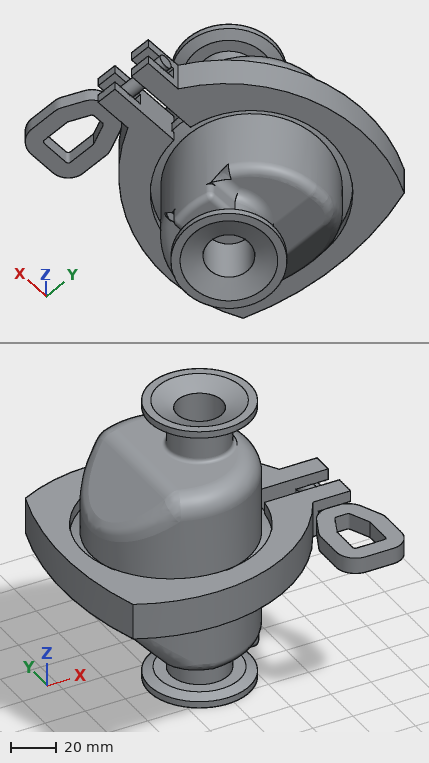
import cadquery as cq
import math

SHELL_DIA = 79.0
SHELL_RADIUS = SHELL_DIA / 2
SHELL_TOP = 45.6
SHELL_BOTTOM = -46.0
TOP_FILLET = 10.0
BOTTOM_FILLET = 4.9
FACET_FILLET = TOP_FILLET
CUT_REACH = 2 * SHELL_RADIUS
UNDERSIDE_LIMIT = SHELL_BOTTOM + TOP_FILLET
EDGE_TOLERANCE = 0.01
SHELL_SPLIT_X = 4.3

TOP_FACET_AXIS_Z = 61.0
BOTTOM_FACET_AXIS_Z = -59.8

UNDERSIDE_TILT = math.radians(11.0)

PORT_TOP = 68.6
PORT_BOTTOM = PORT_TOP - 143.5
TUBE_RADIUS = 29.0 / 2
FERRULE_RADIUS = 50.5 / 2
PORT_X = SHELL_RADIUS - FERRULE_RADIUS
FERRULE_RIM = 3.3
FERRULE_THICKNESS = 5.2
FERRULE_BACK_RADIUS = 20.2
BORE_RADIUS = 22.5 / 2
FUNNEL_RADIUS = 21.2
FUNNEL_DEPTH = 3.7
TOP_FLARE = 1.9
BOTTOM_FLARE = 4.9
PORT_ROOT_DEPTH = 2.9

FOOT_X_START = 20.5
FOOT_WIDTH = 23.5
FOOT_BOTTOM = -60.5
FOOT_FILLET = 3.0
FOOT_ROOT_HEIGHT = 5.2

FLANGE_RADIUS = 45.2
FLANGE_HALF_RIM = 2.9
FLANGE_SLOPE = math.radians(20.0)

CLAMP_HEIGHT = 18.0
CLAMP_BORE_RADIUS = 44.0
CLAMP_BACK_X = -53.5
CLAMP_CORNER = (-45.6, 48.4)
CLAMP_SIDE_CENTER_X = -8.6
ARM_ROOT_X = 62.3
ARM_END_X = 81.1
ARM_OUTER_Y = 15.0
ARM_GAP = 9.9

BOLT_DIA = 7.0
BOLT_X = 71.9
BOLT_END_Y = 16.8
FORK_HEIGHT = 6.9
FORK_START_X = 65.0
NUT_THICKNESS = 8.0
NUT_WALL = 8.0
NUT_OPENING_HALF_WIDTH = 8.2
NUT_OPENING_TOP_HALF_WIDTH = 3.5
NUT_OPENING_BOTTOM_Y = -49.5
NUT_SHOULDER_Y = -34.3
NUT_OPENING_TOP_Y = -23.7
NUT_OPENING_FILLET = 1.5


def make_flange():
    """Disc with a flat rim, thickening along a cone towards the shell."""
    hub_half = FLANGE_HALF_RIM + (FLANGE_RADIUS - SHELL_RADIUS) * math.tan(FLANGE_SLOPE)
    profile = [
        (0, -hub_half),
        (SHELL_RADIUS, -hub_half),
        (FLANGE_RADIUS, -FLANGE_HALF_RIM),
        (FLANGE_RADIUS, FLANGE_HALF_RIM),
        (SHELL_RADIUS, hub_half),
        (0, hub_half),
    ]
    return cq.Workplane("XZ").polyline(profile).close().revolve(360, (0, 0), (0, 1))


def is_upright_line(edge):
    return edge.geomType() == "LINE" and abs(edge.tangentAt(0).z) > 0.9


def facet_edge(shell):
    """Curved edge between the facet and the cylinder: the one lying furthest towards -X."""
    curved = [edge for edge in shell.edges().vals() if edge.geomType() != "LINE"]
    return min(curved, key=lambda edge: edge.Center().x)


def side_cutter(points):
    """Prism across the whole shell from an outline in the XZ plane."""
    return cq.Workplane("XZ").polyline(points).close().extrude(CUT_REACH, both=True)


def make_upper_shell():
    """Upper half of the shell with its facet, rounded all along its top."""
    shell = cq.Workplane("XY").circle(SHELL_RADIUS).extrude(SHELL_TOP)
    facet = side_cutter([
        (SHELL_TOP - TOP_FACET_AXIS_Z, SHELL_TOP),
        (-CUT_REACH, TOP_FACET_AXIS_Z - CUT_REACH),
        (-CUT_REACH, SHELL_TOP),
    ])
    shell = shell.cut(facet).val()
    outer_edges = [
        edge for edge in shell.Edges()
        if edge.Center().z > EDGE_TOLERANCE and not is_upright_line(edge)
    ]
    return cq.Workplane(shell.fillet(TOP_FILLET, outer_edges))


def make_drained_shell():
    """Lower half of the shell with its facet and tilted underside."""
    shell = cq.Workplane("XY").circle(SHELL_RADIUS).extrude(SHELL_BOTTOM)
    facet = side_cutter([
        (BOTTOM_FACET_AXIS_Z - SHELL_BOTTOM, SHELL_BOTTOM),
        (-CUT_REACH, BOTTOM_FACET_AXIS_Z + CUT_REACH),
        (-CUT_REACH, SHELL_BOTTOM),
    ])
    tilt = side_cutter([
        (0, SHELL_BOTTOM),
        (-CUT_REACH, SHELL_BOTTOM + CUT_REACH * math.tan(UNDERSIDE_TILT)),
        (-CUT_REACH, SHELL_BOTTOM),
    ])
    shell = shell.cut(facet).cut(tilt)
    shell = shell.val().fillet(FACET_FILLET, [facet_edge(shell)])
    underside_edges = [
        edge for edge in shell.Edges()
        if edge.BoundingBox().zmax < UNDERSIDE_LIMIT and not is_upright_line(edge)
    ]
    return cq.Workplane(shell.fillet(BOTTOM_FILLET, underside_edges))


def foot_block(top_z, bottom_z):
    """Block under the +X side of the shell, its outer face continuing the cylinder."""
    half_width = FOOT_WIDTH / 2
    corner_x = math.sqrt(SHELL_RADIUS**2 - half_width**2)
    return (
        cq.Workplane("XY", origin=(0, 0, bottom_z))
        .moveTo(FOOT_X_START, -half_width)
        .lineTo(corner_x, -half_width)
        .threePointArc((SHELL_RADIUS, 0), (corner_x, half_width))
        .lineTo(FOOT_X_START, half_width)
        .close()
        .extrude(top_z - bottom_z)
    )


def make_footed_shell():
    """Lower half of the shell with its foot, rounded around the rim and the root of the foot."""
    foot_root_z = SHELL_BOTTOM - FOOT_ROOT_HEIGHT
    shell = (
        cq.Workplane("XY")
        .circle(SHELL_RADIUS)
        .extrude(SHELL_BOTTOM)
        .rotate((0, 0, 0), (0, 0, 1), 180)
    )
    shell = shell.union(foot_block(SHELL_BOTTOM, foot_root_z)).val()
    underside_edges = [
        edge for edge in shell.Edges()
        if abs(edge.Center().z - SHELL_BOTTOM) < EDGE_TOLERANCE
    ]
    shell = cq.Workplane(shell.fillet(BOTTOM_FILLET, underside_edges))
    foot = foot_block(foot_root_z, FOOT_BOTTOM)
    foot = foot.edges("|Z").edges(">X").fillet(FOOT_FILLET)
    foot = foot.faces("<Z").edges().fillet(FOOT_FILLET)
    return shell.union(foot)


def make_lower_shell():
    """Drained shell on the -X side joined to the footed shell on the +X side."""
    footed_side = (
        cq.Workplane("XY", origin=(SHELL_SPLIT_X, 0, 0))
        .box(CUT_REACH, 2 * CUT_REACH, 2 * CUT_REACH, centered=(False, True, True))
    )
    return make_drained_shell().cut(footed_side).union(make_footed_shell().intersect(footed_side))


def make_port(end_z, shell_z, flare):
    """Tube with a ferrule at end_z, flaring out where it meets the shell at shell_z."""
    up = math.copysign(1, end_z)
    root_z = shell_z - up * PORT_ROOT_DEPTH
    flare_middle = flare * (1 - math.sqrt(0.5))
    profile = (
        cq.Workplane("XZ", origin=(PORT_X, 0, 0))
        .moveTo(0, root_z)
        .lineTo(TUBE_RADIUS + flare, root_z)
        .lineTo(TUBE_RADIUS + flare, shell_z)
        .threePointArc(
            (TUBE_RADIUS + flare_middle, shell_z + up * flare_middle),
            (TUBE_RADIUS, shell_z + up * flare),
        )
        .lineTo(TUBE_RADIUS, end_z - up * FERRULE_THICKNESS)
        .lineTo(FERRULE_BACK_RADIUS, end_z - up * FERRULE_THICKNESS)
        .lineTo(FERRULE_RADIUS, end_z - up * FERRULE_RIM)
        .lineTo(FERRULE_RADIUS, end_z)
        .lineTo(0, end_z)
        .close()
    )
    return profile.revolve(360, (0, 0), (0, 1))


def make_port_bore(end_z, shell_z):
    """Blind bore as deep as the shell face, opening into a funnel at the port mouth."""
    up = math.copysign(1, end_z)
    profile = [
        (0, shell_z),
        (BORE_RADIUS, shell_z),
        (BORE_RADIUS, end_z - up * FUNNEL_DEPTH),
        (FUNNEL_RADIUS, end_z),
        (0, end_z),
    ]
    return (
        cq.Workplane("XZ", origin=(PORT_X, 0, 0))
        .polyline(profile).close()
        .revolve(360, (0, 0), (0, 1))
    )


def make_housing():
    housing = (
        make_upper_shell()
        .union(make_lower_shell())
        .union(make_flange())
        .union(make_port(PORT_TOP, SHELL_TOP, TOP_FLARE))
        .union(make_port(PORT_BOTTOM, SHELL_BOTTOM, BOTTOM_FLARE))
    )
    housing = housing.cut(make_port_bore(PORT_TOP, SHELL_TOP))
    return housing.cut(make_port_bore(PORT_BOTTOM, SHELL_BOTTOM))


def arc_middle(start, end, center_x):
    """Middle point of the arc through start and end whose center lies at center_x."""
    chord_x = (start[0] + end[0]) / 2
    chord_y = (start[1] + end[1]) / 2
    slope = (end[0] - start[0]) / (start[1] - end[1])
    center_y = chord_y + slope * (center_x - chord_x)
    radius = math.hypot(start[0] - center_x, start[1] - center_y)
    length = math.hypot(chord_x - center_x, chord_y - center_y)
    return (
        center_x + (chord_x - center_x) * radius / length,
        center_y + (chord_y - center_y) * radius / length,
    )


def mirrored(point):
    return (point[0], -point[1])


def make_clamp_ring():
    arm_root = (ARM_ROOT_X, ARM_OUTER_Y)
    side_middle = arc_middle(CLAMP_CORNER, arm_root, CLAMP_SIDE_CENTER_X)
    ring = (
        cq.Workplane("XY", origin=(0, 0, -CLAMP_HEIGHT / 2))
        .moveTo(*CLAMP_CORNER)
        .threePointArc(side_middle, arm_root)
        .lineTo(ARM_END_X, ARM_OUTER_Y)
        .lineTo(ARM_END_X, -ARM_OUTER_Y)
        .lineTo(*mirrored(arm_root))
        .threePointArc(mirrored(side_middle), mirrored(CLAMP_CORNER))
        .threePointArc((CLAMP_BACK_X, 0), CLAMP_CORNER)
        .close()
        .extrude(CLAMP_HEIGHT)
    )
    bore = cq.Workplane("XY").circle(CLAMP_BORE_RADIUS).extrude(CLAMP_HEIGHT, both=True)
    gap = cq.Workplane("XY").box(ARM_END_X, ARM_GAP, CLAMP_HEIGHT, centered=(False, True, True))
    fork = (
        cq.Workplane("XY", origin=(FORK_START_X, 0, 0))
        .box(ARM_END_X - FORK_START_X, 2 * ARM_OUTER_Y, FORK_HEIGHT, centered=(False, True, True))
    )
    return ring.cut(bore).cut(gap).cut(fork).cut(make_flange())


def make_bolt():
    nut_middle_y = NUT_OPENING_TOP_Y + NUT_WALL / 2
    return (
        cq.Workplane("XZ", origin=(BOLT_X, BOLT_END_Y, 0))
        .circle(BOLT_DIA / 2)
        .extrude(BOLT_END_Y - nut_middle_y)
    )


def make_nut():
    """Eye-shaped nut: a wall of even thickness around a tapered opening."""
    opening_outline = [
        (-NUT_OPENING_HALF_WIDTH, NUT_OPENING_BOTTOM_Y),
        (NUT_OPENING_HALF_WIDTH, NUT_OPENING_BOTTOM_Y),
        (NUT_OPENING_HALF_WIDTH, NUT_SHOULDER_Y),
        (NUT_OPENING_TOP_HALF_WIDTH, NUT_OPENING_TOP_Y),
        (-NUT_OPENING_TOP_HALF_WIDTH, NUT_OPENING_TOP_Y),
        (-NUT_OPENING_HALF_WIDTH, NUT_SHOULDER_Y),
    ]
    base = cq.Workplane("XY", origin=(BOLT_X, 0, -NUT_THICKNESS / 2))
    opening = base.polyline(opening_outline).close().extrude(NUT_THICKNESS)
    opening = opening.edges("|Z and (<Y or >Y)").fillet(NUT_OPENING_FILLET)
    body = (
        cq.Workplane("XY", origin=(0, 0, -NUT_THICKNESS / 2))
        .add(opening.faces("<Z").wires())
        .toPending()
        .offset2D(NUT_WALL)
        .extrude(NUT_THICKNESS)
    )
    return body.cut(opening)


def make_clamp():
    """Clamp ring with its swing bolt and nut."""
    return make_clamp_ring().union(make_bolt()).union(make_nut())


housing = make_housing()
clamp = make_clamp()

result = cq.Compound.makeCompound([housing.val(), clamp.val()])